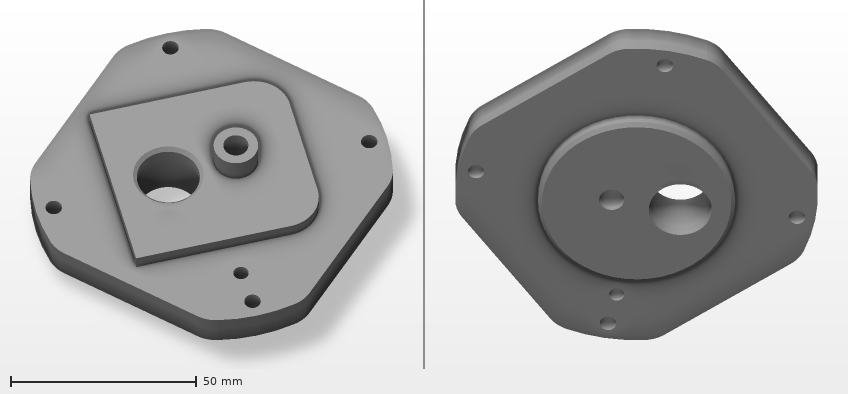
import cadquery as cq
import math

PLATE_SIDE = 86
PLATE_THICKNESS = 9.0
CORNER_CIRCLE_RADIUS = 49
BLEND_RADIUS = 10.0

SPIGOT_DIAMETER = 53.2
SPIGOT_HEIGHT = 4.0
SPIGOT_CHAMFER = 1.0

PAD_WIDTH = 50.0
PAD_NEAR_END = -27.5
PAD_FAR_END = 25.7
PAD_HEIGHT = 3.95
PAD_ANGLE = 45

BOSS_OFFSET = 4.8
BOSS_DIAMETER = 12
BOSS_HEIGHT = 7.0
BOSS_BORE = 6.8

BORE_OFFSET = -8.5
BORE_DIAMETER = 17.0
BORE_CHAMFER = 1.0

BOLT_CIRCLE_DIAMETER = 88.1
BOLT_HOLE_DIAMETER = 4.5
EXTRA_HOLE_POSITION = (23.65, -24.5)
EXTRA_HOLE_DIAMETER = 4.1

PAD_TOP = PLATE_THICKNESS + PAD_HEIGHT
BOSS_TOP = PAD_TOP + BOSS_HEIGHT
BOSS_POSITION = (BOSS_OFFSET, BOSS_OFFSET)
BORE_POSITION = (BORE_OFFSET, BORE_OFFSET)


def cylinder(position, diameter, bottom, top):
    """Upright cylinder between two heights."""
    base = cq.Workplane("XY", origin=(*position, bottom))
    return base.circle(diameter / 2).extrude(top - bottom)


def through_hole(position, diameter):
    """Cutter that spans the full height of the part."""
    return cylinder(position, diameter, -SPIGOT_HEIGHT, BOSS_TOP)


def make_plate():
    square = cq.Workplane("XY").rect(PLATE_SIDE, PLATE_SIDE).extrude(PLATE_THICKNESS)
    disc = cylinder((0, 0), 2 * CORNER_CIRCLE_RADIUS, 0, PLATE_THICKNESS)
    return square.intersect(disc).edges("|Z").fillet(BLEND_RADIUS)


def make_spigot():
    spigot = cylinder((0, 0), SPIGOT_DIAMETER, -SPIGOT_HEIGHT, 0)
    return spigot.faces("<Z").edges().chamfer(SPIGOT_CHAMFER)


def make_pad():
    length = PAD_FAR_END - PAD_NEAR_END
    pad = (
        cq.Workplane("XY", origin=(0, 0, PLATE_THICKNESS))
        .center((PAD_NEAR_END + PAD_FAR_END) / 2, 0)
        .rect(length, PAD_WIDTH)
        .extrude(PAD_HEIGHT)
    )
    pad = pad.faces(">X").edges("|Z").fillet(BLEND_RADIUS)
    return pad.rotate((0, 0, 0), (0, 0, 1), PAD_ANGLE)


def make_bore():
    bore = through_hole(BORE_POSITION, BORE_DIAMETER)
    mouth_radius = BORE_DIAMETER / 2 + BORE_CHAMFER
    mouth = cq.Workplane(
        cq.Solid.makeCone(
            BORE_DIAMETER / 2,
            mouth_radius,
            BORE_CHAMFER,
            pnt=cq.Vector(*BORE_POSITION, PAD_TOP - BORE_CHAMFER),
        )
    )
    return bore.union(mouth)


result = make_plate().union(make_spigot()).union(make_pad())
result = result.union(cylinder(BOSS_POSITION, BOSS_DIAMETER, PAD_TOP, BOSS_TOP))

result = result.cut(make_bore())
result = result.cut(through_hole(BOSS_POSITION, BOSS_BORE))
result = result.cut(through_hole(EXTRA_HOLE_POSITION, EXTRA_HOLE_DIAMETER))

bolt_offset = BOLT_CIRCLE_DIAMETER / 2 / math.sqrt(2)
for x_side in (-1, 1):
    for y_side in (-1, 1):
        bolt_position = (x_side * bolt_offset, y_side * bolt_offset)
        result = result.cut(through_hole(bolt_position, BOLT_HOLE_DIAMETER))